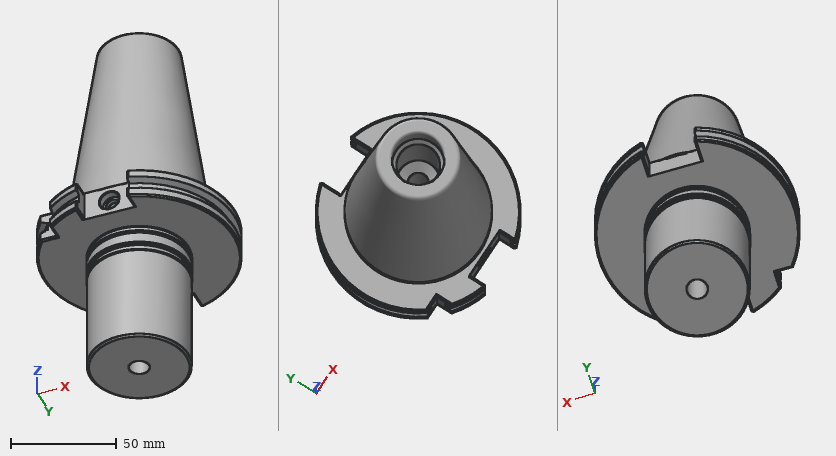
import cadquery as cq
import math


gauge_dia = 69.85
taper_length = 101.75
taper_ratio = 7 / 24
taper_nose_fillet = 2.0

taper_overrun = 0.95
relief_waist_z = -1.9
relief_waist_dia = 68.4
relief_foot_dia = 70.4

flange_dia = 97.5
flange_top = -3.2
flange_bottom = -18.95
flange_thickness = flange_top - flange_bottom
flange_chamfer = 0.8

groove_z = -11.0
groove_depth = 3.0
groove_mouth_width = 6.8
groove_flank_angle = 30.0
groove_floor_width = groove_mouth_width - 2 * groove_depth * math.tan(math.radians(groove_flank_angle))

slot_width = 25.7
front_slot_floor = 37.5
back_slot_floor = 35.3

notch_offset = 30.0

counterbore_dia = 10.0
counterbore_depth = 4.5
counterbore_chamfer = 0.25
side_hole_dia = 7.0
side_hole_depth = 7.0
drill_point_angle = 118.0

shank_dia = 50.0
collar_dia = 50.5
collar_groove_dia = 49.5
collar_slope_height = 0.5
collar_top = -19.7
upper_groove_top = -21.75
upper_groove_bottom = -23.25
lower_groove_top = -28.6
lower_groove_bottom = -30.7
collar_bottom = -33.5
shank_bottom = -84.85
shank_chamfer = 1.0

bore_mouth_radius = 1.3
bore_dia = 25.0
bore_depth = 11.0
thread_core_dia = 20.75
thread_depth = 45.0
through_dia = 10.11

tolerance = 0.01


def drill_point_height(large_dia, small_dia=0.0):
    """Height of the cone a drill leaves between two diameters."""
    return (large_dia - small_dia) / 2 / math.tan(math.radians(drill_point_angle / 2))


def cylinder(dia, bottom, top):
    return cq.Workplane("XY").workplane(offset=bottom).circle(dia / 2).extrude(top - bottom)


def revolve_profile(points):
    """Revolve a closed outline of (radius, z) points about the Z axis."""
    return cq.Workplane("XZ").polyline(points).close().revolve(360, (0, 0, 0), (0, 1, 0))


def make_taper():
    gauge_radius = gauge_dia / 2
    nose_radius = gauge_radius - taper_length * taper_ratio / 2
    taper = revolve_profile([
        (0, flange_top),
        (relief_foot_dia / 2, flange_top),
        (relief_waist_dia / 2, relief_waist_z),
        (gauge_radius + taper_overrun * taper_ratio / 2, -taper_overrun),
        (nose_radius, taper_length),
        (0, taper_length),
    ])
    return taper.faces(">Z").edges().fillet(taper_nose_fillet)


def make_slot(side, floor):
    """Cutter for a drive slot; side is -1 for -Y and +1 for +Y."""
    slot_depth = flange_dia - floor
    center_y = side * (floor + slot_depth / 2)
    return (
        cq.Workplane("XY").workplane(offset=flange_bottom)
        .center(0, center_y).rect(slot_width, slot_depth).extrude(flange_thickness)
    )


def make_notch():
    return (
        cq.Workplane("XY").workplane(offset=flange_bottom)
        .rect(flange_dia, flange_dia).extrude(flange_thickness)
        .translate((-notch_offset - flange_dia / 2, -notch_offset - flange_dia / 2, 0))
    )


def make_groove():
    rim = flange_dia / 2
    root = rim - groove_depth
    half_mouth = groove_mouth_width / 2
    half_floor = groove_floor_width / 2
    return revolve_profile([
        (root, groove_z - half_floor),
        (rim, groove_z - half_mouth),
        (flange_dia, groove_z - half_mouth),
        (flange_dia, groove_z + half_mouth),
        (rim, groove_z + half_mouth),
        (root, groove_z + half_floor),
    ])


def is_slot_floor_edge(edge):
    center = edge.Center()
    on_floor = min(abs(center.y + front_slot_floor), abs(center.y - back_slot_floor)) < tolerance
    return on_floor and abs(center.x) < slot_width / 2 + tolerance


def is_slot_corner_edge(edge):
    """Upright edge where a slot wall meets the rim."""
    center = edge.Center()
    at_wall = abs(abs(center.x) - slot_width / 2) < tolerance
    return at_wall and math.hypot(center.x, center.y) > flange_dia / 2 - tolerance


def make_flange():
    flange = cylinder(flange_dia, flange_bottom, flange_top)
    flange = flange.cut(make_slot(-1, front_slot_floor))
    flange = flange.cut(make_slot(1, back_slot_floor))
    flange = flange.cut(make_notch())
    outline = flange.faces("<Z or >Z").edges().filter(lambda edge: not is_slot_floor_edge(edge))
    corners = flange.edges("|Z").filter(is_slot_corner_edge)
    flange = flange.newObject(outline.vals() + corners.vals()).chamfer(flange_chamfer)
    return flange.cut(make_groove())


def make_shank():
    shank_radius = shank_dia / 2
    collar_radius = collar_dia / 2
    groove_radius = collar_groove_dia / 2
    return revolve_profile([
        (0, flange_bottom),
        (shank_radius, flange_bottom),
        (collar_radius, collar_top),
        (collar_radius, upper_groove_top),
        (groove_radius, upper_groove_top),
        (groove_radius, upper_groove_bottom + collar_slope_height),
        (collar_radius, upper_groove_bottom),
        (collar_radius, lower_groove_top),
        (groove_radius, lower_groove_top - collar_slope_height),
        (groove_radius, lower_groove_bottom + collar_slope_height),
        (collar_radius, lower_groove_bottom),
        (collar_radius, collar_bottom + collar_slope_height),
        (shank_radius, collar_bottom),
        (shank_radius, shank_bottom + shank_chamfer),
        (shank_radius - shank_chamfer, shank_bottom),
        (0, shank_bottom),
    ])


def make_bore():
    bore_floor = taper_length - bore_depth
    core_top = bore_floor - (bore_dia - thread_core_dia) / 2
    core_bottom = taper_length - thread_depth
    point_bottom = core_bottom - drill_point_height(thread_core_dia, through_dia)
    arc_center_r = bore_dia / 2 + bore_mouth_radius
    arc_center_z = taper_length - bore_mouth_radius
    arc_reach = bore_mouth_radius * math.sqrt(0.5)
    return (
        cq.Workplane("XZ")
        .moveTo(0, taper_length)
        .lineTo(arc_center_r, taper_length)
        .threePointArc(
            (arc_center_r - arc_reach, arc_center_z + arc_reach),
            (bore_dia / 2, arc_center_z),
        )
        .lineTo(bore_dia / 2, bore_floor)
        .lineTo(thread_core_dia / 2, core_top)
        .lineTo(thread_core_dia / 2, core_bottom)
        .lineTo(through_dia / 2, point_bottom)
        .lineTo(through_dia / 2, shank_bottom)
        .lineTo(0, shank_bottom)
        .close()
        .revolve(360, (0, 0, 0), (0, 1, 0))
    )


def make_side_hole():
    """Counterbored blind hole, modelled along Z and turned to enter from -Y."""
    hole = revolve_profile([
        (0, 0),
        (counterbore_dia / 2 + counterbore_chamfer, 0),
        (counterbore_dia / 2, -counterbore_chamfer),
        (counterbore_dia / 2, -counterbore_depth),
        (side_hole_dia / 2, -counterbore_depth),
        (side_hole_dia / 2, -side_hole_depth),
        (0, -side_hole_depth - drill_point_height(side_hole_dia)),
    ])
    hole = hole.rotate((0, 0, 0), (1, 0, 0), 90)
    return hole.translate((0, -front_slot_floor, groove_z))


body = make_flange().union(make_taper()).union(make_shank())
result = body.cut(make_bore()).cut(make_side_hole())